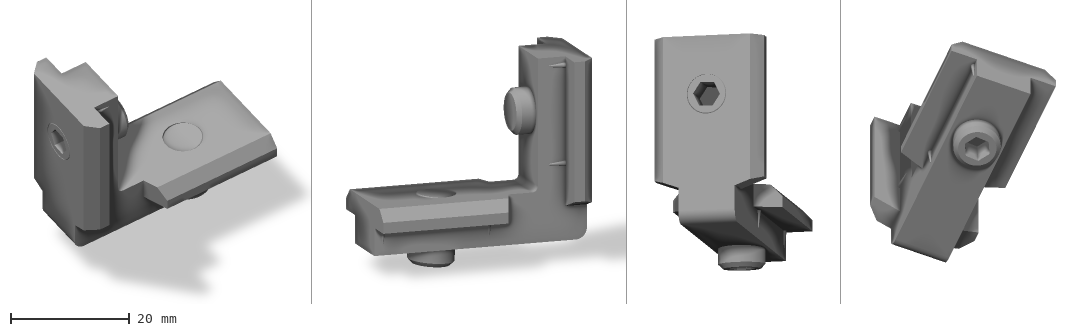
import cadquery as cq
import math

foot_length = 38.0
upright_height = 31.92
leg_thickness = 8.78
neck_width = 9.75
inner_fillet = 1.0
outer_fillet = 1.98

flange_width = 19.0
flange_thickness = 3.88
flange_chamfer = 1.98
flange_taper_angle = 20.0
foot_flange_start = 14.0
upright_flange_start = 5.95

rib_radius = 0.5
rib_tip_radius = 0.1
rib_axis_inset = 0.05
rib_height = 2.93
rib_end_inset = 1.52
foot_rib_spacing = 19.0
upright_rib_spacing = 17.02

screw_diameter = 8.0
screw_length = 12.0
screw_chamfer = 0.75
socket_width = 4.03
socket_depth = 4.95
socket_turn = -3.5
bore_diameter = 6.8
upright_screw_height = 21.9
foot_screw_y = 25.25
foot_screw_tilt = 5.0
foot_screw_drop = 0.08


def on_foot(shape):
    """Place a shape whose outer face is at z = 0 on top of the foot."""
    return shape.translate((0, 0, leg_thickness))


def on_upright(shape):
    """Place a shape whose outer face is at z = 0 on the front of the upright."""
    return shape.rotate((0, 0, 0), (1, 0, 0), 90)


def make_flange(start, end):
    """Flange along Y with its outer face at z = 0 and the end near the corner tapered."""
    half_width = flange_width / 2
    half_neck = neck_width / 2
    taper = (half_width - half_neck) * math.tan(math.radians(flange_taper_angle))
    plate = (
        cq.Workplane("XY")
        .moveTo(-half_width, end)
        .lineTo(half_width, end)
        .lineTo(half_width, start + taper)
        .lineTo(half_neck, start)
        .lineTo(-half_neck, start)
        .lineTo(-half_width, start + taper)
        .close()
        .extrude(-flange_thickness)
    )
    return plate.faces(">Z").edges("|Y").chamfer(flange_chamfer)


def make_ribs(end, spacing):
    """Four pointed ribs on the sides of the neck, growing down from the flange."""
    ribs = cq.Workplane("XY")
    axis_x = neck_width / 2 - rib_axis_inset
    for x in (-axis_x, axis_x):
        for y in (end - rib_end_inset, end - rib_end_inset - spacing):
            base = cq.Vector(x, y, -flange_thickness)
            down = cq.Vector(0, 0, -1)
            ribs = ribs.add(cq.Solid.makeCone(rib_radius, rib_tip_radius, rib_height, base, down))
    return ribs.combine()


def make_screw_blank():
    """Screw without its socket: socket end at z = 0, body along -Z."""
    return (
        cq.Workplane("XY")
        .circle(screw_diameter / 2)
        .extrude(-screw_length)
        .faces("|Z")
        .edges()
        .chamfer(screw_chamfer)
    )


def make_screw():
    hexagon_sides = 6
    corner_diameter = socket_width / math.cos(math.pi / hexagon_sides)
    socket = (
        cq.Workplane("XY")
        .polygon(hexagon_sides, corner_diameter)
        .extrude(-socket_depth)
        .rotate((0, 0, 0), (0, 0, 1), socket_turn)
    )
    return make_screw_blank().cut(socket)


def make_screw_space():
    """Core bore running past both screw ends, together with the space of the screw itself."""
    bore = (
        cq.Workplane("XY")
        .workplane(offset=-screw_length / 2)
        .circle(bore_diameter / 2)
        .extrude(screw_length, both=True)
    )
    return bore.union(make_screw_blank())


def in_upright(shape):
    """Screw position in the upright: socket end flush with the front."""
    return on_upright(shape).translate((0, 0, upright_screw_height))


def in_foot(shape):
    """Screw position in the foot: tilted, with the socket end pointing down."""
    return (
        shape.rotate((0, 0, 0), (1, 0, 0), 180)
        .translate((0, 0, -screw_length))
        .rotate((0, 0, 0), (1, 0, 0), foot_screw_tilt)
        .translate((0, foot_screw_y, leg_thickness - foot_screw_drop))
    )


def make_bracket():
    neck = (
        cq.Workplane("YZ")
        .polyline([
            (0, 0),
            (foot_length, 0),
            (foot_length, leg_thickness),
            (leg_thickness, leg_thickness),
            (leg_thickness, upright_height),
            (0, upright_height),
        ])
        .close()
        .extrude(neck_width / 2, both=True)
    )
    inner_corner = cq.selectors.NearestToPointSelector((0, leg_thickness, leg_thickness))
    outer_corner = cq.selectors.NearestToPointSelector((0, 0, 0))
    neck = neck.edges("|X").edges(inner_corner).fillet(inner_fillet)
    neck = neck.edges("|X").edges(outer_corner).fillet(outer_fillet)
    return (
        neck
        .union(on_foot(make_flange(foot_flange_start, foot_length)))
        .union(on_upright(make_flange(upright_flange_start, upright_height)))
        .union(on_foot(make_ribs(foot_length, foot_rib_spacing)))
        .union(on_upright(make_ribs(upright_height, upright_rib_spacing)))
        .cut(in_foot(make_screw_space()))
        .cut(in_upright(make_screw_space()))
    )


bracket = make_bracket()
screws = [place(make_screw()) for place in (in_upright, in_foot)]

result = cq.Compound.makeCompound([bracket.val(), *[screw.val() for screw in screws]])